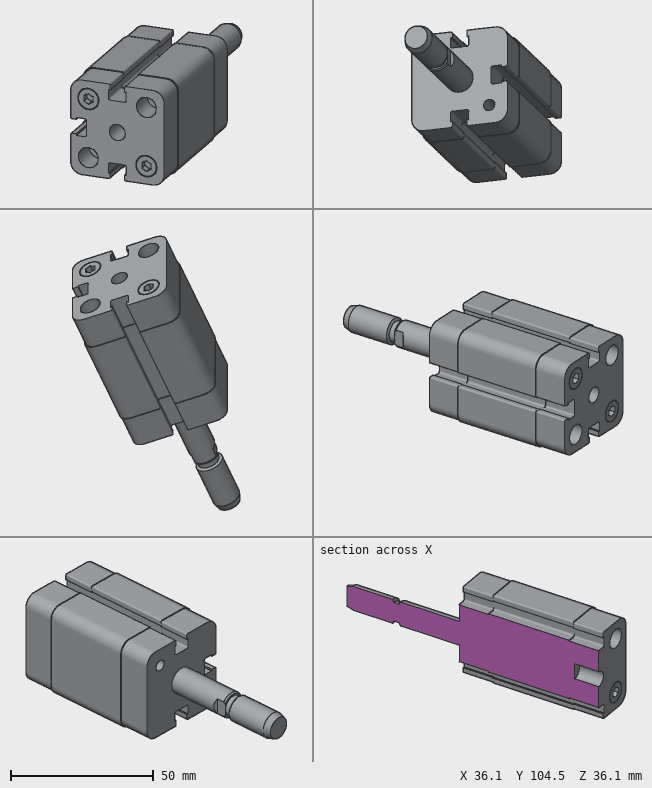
import cadquery as cq
total_length = 104.5
body_length = 58.0
cap_length = 12.3

tube_width = 36.1
cap_width = 35.5
corner_radius = 4.4

slot_mouth_width = 5.4
slot_inner_width = 6.7
slot_depth = 6.0
slot_lip = 2.2
slot_edge_radius = 0.6
slot_floor_radius = 0.7

hole_spacing = 22.0
through_diameter = 4.13
counterbore_diameter = 7.5
counterbore_depth = 10.0
head_seat_diameter = 8.0
head_diameter = 7.5
head_gap_depth = 4.0
hex_across_corners = 4.0
hex_depth = 3.0

centre_hole_diameter = 6.0
centre_hole_depth = 10.0

rod_diameter = 10.0
tip_diameter = 8.3
tip_chamfer_length = 2.7
thread_length = 19.0
thread_runout = 0.5
neck_diameter = 7.9
shoulder_distance = 21.8
shoulder_chamfer_length = 0.7
shoulder_chamfer_depth = 0.4
flat_end_distance = 25.4
across_flats = 8.0


def section_plane(y):
    """Sketch plane at the given Y, with local axes -X and Z and its normal toward +Y."""
    return cq.Plane(origin=(0, y, 0), xDir=(-1, 0, 0), normal=(0, 1, 0))


def front_circles(points, diameter, depth):
    """Cylinders running from the front face toward +Y at the given (x, z) points."""
    mirrored = [(-x, z) for x, z in points]
    return cq.Workplane(section_plane(0)).pushPoints(mirrored).circle(diameter / 2).extrude(depth)


def slot_cutter(width, start, length):
    """T-slot in the top side of a square section of the given width."""
    top = width / 2
    floor = top - slot_depth
    mouth = slot_mouth_width / 2
    inner = slot_inner_width / 2
    flare = mouth + slot_edge_radius
    return (
        cq.Workplane(section_plane(start))
        .moveTo(-flare, top)
        .radiusArc((-mouth, top - slot_edge_radius), slot_edge_radius)
        .lineTo(-mouth, top - slot_lip)
        .lineTo(-inner, top - slot_lip)
        .lineTo(-inner, floor + slot_floor_radius)
        .radiusArc((slot_floor_radius - inner, floor), -slot_floor_radius)
        .lineTo(inner - slot_floor_radius, floor)
        .radiusArc((inner, floor + slot_floor_radius), -slot_floor_radius)
        .lineTo(inner, top - slot_lip)
        .lineTo(mouth, top - slot_lip)
        .lineTo(mouth, top - slot_edge_radius)
        .radiusArc((flare, top), slot_edge_radius)
        .close()
        .extrude(length)
    )


def body_section(width, start, length):
    """Rounded square bar with T-slots in its top, -X and bottom sides."""
    bar = cq.Workplane(section_plane(start)).rect(width, width).extrude(length)
    bar = bar.edges("|Y").fillet(corner_radius)
    cutter = slot_cutter(width, start, length)
    for angle in (0, -90, 180):
        bar = bar.cut(cutter.rotate((0, 0, 0), (0, 1, 0), angle))
    return bar


def make_body():
    """Tube between two slightly narrower end caps."""
    front_cap = body_section(cap_width, 0, cap_length)
    tube = body_section(tube_width, cap_length, body_length - 2 * cap_length)
    rear_cap = body_section(cap_width, body_length - cap_length, cap_length)
    return front_cap.union(tube).union(rear_cap)


def make_rod():
    """Turned rod with a threaded end, a neck and two wrench flats."""
    radius = rod_diameter / 2
    neck = neck_diameter / 2
    thread_end = total_length - thread_length
    shoulder = total_length - shoulder_distance
    rod = (
        cq.Workplane("XY")
        .moveTo(0, body_length - cap_length)
        .lineTo(radius, body_length - cap_length)
        .lineTo(radius, shoulder - shoulder_chamfer_length)
        .lineTo(radius - shoulder_chamfer_depth, shoulder)
        .lineTo(neck, shoulder)
        .lineTo(neck, thread_end - thread_runout)
        .lineTo(radius, thread_end)
        .lineTo(radius, total_length - tip_chamfer_length)
        .lineTo(tip_diameter / 2, total_length)
        .lineTo(0, total_length)
        .close()
        .revolve(360, (0, 0, 0), (0, 1, 0))
    )
    flat = across_flats / 2
    flat_end = total_length - flat_end_distance
    ramp = radius - flat
    flat_cutter = (
        cq.Workplane("XY")
        .moveTo(flat, shoulder)
        .lineTo(flat, flat_end)
        .lineTo(radius, flat_end - ramp)
        .lineTo(radius, shoulder)
        .close()
        .extrude(radius, both=True)
    )
    return rod.cut(flat_cutter).cut(flat_cutter.mirror("YZ"))


def cut_front_holes(body):
    """Two counterbored through holes and the blind centre hole."""
    offset = hole_spacing / 2
    corners = [(offset, offset), (-offset, -offset)]
    body = body.cut(front_circles(corners, through_diameter, body_length))
    body = body.cut(front_circles(corners, counterbore_diameter, counterbore_depth))
    return body.cut(front_circles([(0, 0)], centre_hole_diameter, centre_hole_depth))


def cut_screw_heads(body):
    """Two flush socket-head screws, each in a narrow annular gap."""
    offset = hole_spacing / 2
    corners = [(-offset, offset), (offset, -offset)]
    seat = front_circles(corners, head_seat_diameter, head_gap_depth)
    head = front_circles(corners, head_diameter, head_gap_depth)
    body = body.cut(seat.cut(head))
    corner_up_angle = 30
    for x, z in corners:
        socket = cq.Workplane(section_plane(0)).polygon(6, hex_across_corners).extrude(hex_depth)
        socket = socket.rotate((0, 0, 0), (0, 1, 0), corner_up_angle).translate((x, 0, z))
        body = body.cut(socket)
    return body


body = cut_screw_heads(cut_front_holes(make_body()))
result = body.union(make_rod())